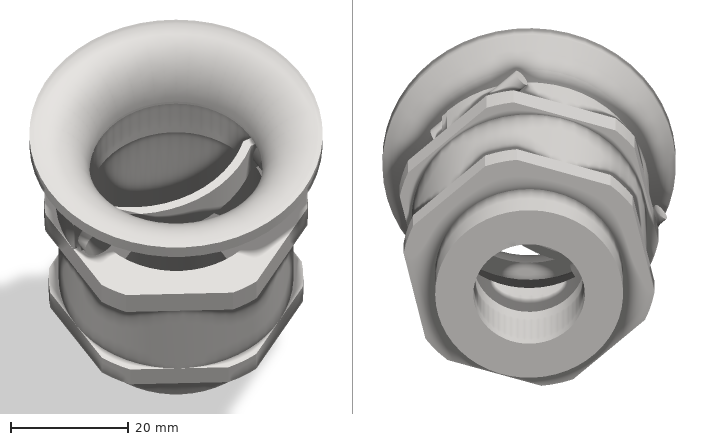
import cadquery as cq
import math

total_height = 50.8
spigot_top = 8.0
lower_flange_top = 12.0
body_top = 28.2
upper_flange_top = 32.75
collar_edge = 39.2
collar_top = 40.75
rim_bottom = 48.25

spigot_radius = 16.0
body_radius = 20.0
collar_radius = 20.5
rim_radius = 25.0

lower_flat = 20.0
lower_corner_radius = 21.7
upper_flat = 20.5
upper_corner_radius = 22.45

outlet_radius = 9.5
bore_radius = 15.5
throat_radius = 14.75
collar_bore_radius = 14.95

neck_radius = 18.0
neck_fillet = 5.0
neck_fillet_top = 44.85
mouth_radius = 24.25

strap_thickness = 1.5
strap_reach = 6.7
strap_half_width = 20.1
strap_height = 6.4
strap_arc_half_width = 13.45
clamp_z = 36.8
screw_offset = 17.5
screw_radius = 1.5
screw_tip_reach = 14.45
nut_radius = 3.05
nut_thickness = 2.35


def cylinder(radius, bottom, top):
    return cq.Workplane("XY").workplane(offset=bottom).circle(radius).extrude(top - bottom)


def hex_flange(half_flats, corner_radius, bottom, top):
    """Hexagon with two flats facing Y and its corners rounded to a circle."""
    across_corners = 2 * half_flats / math.cos(math.pi / 6)
    hexagon = (
        cq.Workplane("XY").workplane(offset=bottom)
        .polygon(6, across_corners).extrude(top - bottom)
    )
    return hexagon.intersect(cylinder(corner_radius, bottom, top))


def make_body():
    """Spigot, barrel and both flanges, with a wide bore above a smaller outlet."""
    body = (
        cylinder(spigot_radius, 0, spigot_top)
        .union(hex_flange(lower_flat, lower_corner_radius, spigot_top, lower_flange_top))
        .union(cylinder(body_radius, lower_flange_top, body_top))
        .union(hex_flange(upper_flat, upper_corner_radius, body_top, upper_flange_top))
    )
    body = body.cut(cylinder(outlet_radius, 0, lower_flange_top))
    return body.cut(cylinder(bore_radius, lower_flange_top, upper_flange_top))


def make_collar():
    """Half ring on the -X side, bevelled up to the neck of the bell mouth."""
    return (
        cq.Workplane("XZ")
        .moveTo(collar_bore_radius, upper_flange_top)
        .lineTo(collar_radius, upper_flange_top)
        .lineTo(collar_radius, collar_edge)
        .lineTo(neck_radius, collar_top)
        .lineTo(collar_bore_radius, collar_top)
        .close()
        .revolve(180, (0, 0, 0), (0, 1, 0))
        .rotate((0, 0, 0), (0, 0, 1), 90)
    )


def arc_middle(start, end):
    """Middle point of the arc that leaves start straight up and bends outward to end."""
    run = end[0] - start[0]
    rise = end[1] - start[1]
    radius = (run**2 + rise**2) / (2 * run)
    half_sweep = math.atan2(run, rise)
    return (
        start[0] + radius * (1 - math.cos(half_sweep)),
        start[1] + radius * math.sin(half_sweep),
    )


def make_bell_mouth():
    """Flared ring: the arcs inside and outside both leave the neck vertically."""
    neck = (neck_radius, collar_top)
    fillet_rise = neck_fillet_top - collar_top
    fillet_run = neck_fillet - math.sqrt(neck_fillet**2 - fillet_rise**2)
    fillet_end = (neck_radius + fillet_run, neck_fillet_top)
    flare_radius = mouth_radius - throat_radius
    throat = (throat_radius, total_height - flare_radius)
    mouth = (mouth_radius, total_height)
    return (
        cq.Workplane("XZ")
        .moveTo(*neck)
        .threePointArc(arc_middle(neck, fillet_end), fillet_end)
        .lineTo(rim_radius, rim_bottom)
        .lineTo(rim_radius, total_height)
        .lineTo(*mouth)
        .threePointArc(arc_middle(throat, mouth), throat)
        .lineTo(throat_radius, collar_top)
        .close()
        .revolve(360, (0, 0, 0), (0, 1, 0))
    )


def make_strap():
    """Flat ears against the collar ends, joined by an arched strip bowed toward +X."""
    inner_reach = strap_reach - strap_thickness
    inner_arc = (strap_arc_half_width**2 + inner_reach**2) / (2 * inner_reach)
    outer_arc = inner_arc + strap_thickness
    arc_center = inner_reach - inner_arc
    outer_half_width = math.sqrt(outer_arc**2 - (strap_thickness - arc_center)**2)
    return (
        cq.Workplane("XY").workplane(offset=clamp_z - strap_height / 2)
        .moveTo(0, -strap_half_width)
        .lineTo(strap_thickness, -strap_half_width)
        .lineTo(strap_thickness, -outer_half_width)
        .threePointArc((strap_reach, 0), (strap_thickness, outer_half_width))
        .lineTo(strap_thickness, strap_half_width)
        .lineTo(0, strap_half_width)
        .lineTo(0, strap_arc_half_width)
        .threePointArc((inner_reach, 0), (0, -strap_arc_half_width))
        .close()
        .extrude(strap_height)
    )


def make_screw(y):
    """Screw along X through the collar and strap ear, with a round nut on the ear."""
    nut_face = strap_thickness + nut_thickness
    side = cq.Workplane("YZ").center(y, clamp_z)
    screw_length = screw_tip_reach + nut_face
    shank = side.workplane(offset=-screw_tip_reach).circle(screw_radius).extrude(screw_length)
    nut = side.workplane(offset=strap_thickness).circle(nut_radius).extrude(nut_thickness)
    return shank.union(nut)


result = make_body().union(make_collar()).union(make_bell_mouth()).union(make_strap())
for screw_y in (-screw_offset, screw_offset):
    result = result.union(make_screw(screw_y))